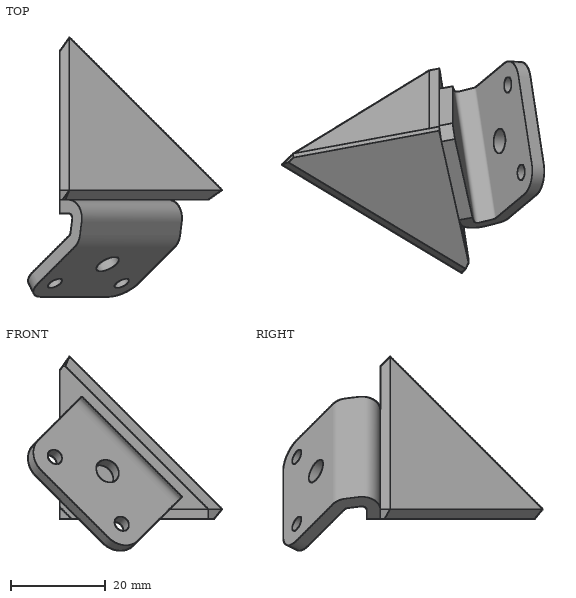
import cadquery as cq
import math

leg = 32.3
wall = 2.1
bevel = math.sqrt(2)

bracket_width = 29.95
sheet = 2.9
bend_radius = 1.0
bridge_slope = 10.0
bridge_start_v = 19.45
bridge_length = 9.15
flange_corner_cut = 1.8
tab_slope = math.degrees(math.atan(math.sqrt(2)))
tab_length = 19.9
tab_corner_radius = 5.0
mount_hole_diameter = 3.3
mount_hole_inset = tab_corner_radius
center_hole_diameter = 5.2
center_hole_inset = 12.0

reach = 3 * leg


def half_space(point, outward):
    """Large block filling the side of a plane that its outward normal points to."""
    return cq.Workplane(cq.Plane(origin=point, normal=outward)).rect(2 * reach, 2 * reach).extrude(reach)


def box_between(low, high):
    """Axis-aligned box between two opposite corners."""
    size = [b - a for a, b in zip(low, high)]
    return cq.Workplane("XY").box(*size, centered=False).translate(low)


def corner_plate(axis, low):
    """Triangular plate perpendicular to an axis, with beveled long edge and mitered ends."""
    high = [leg, leg, leg]
    high[axis] = 0
    plate = box_between(low, high)

    edge_point = [leg / 2, leg / 2, leg / 2]
    edge_point[axis] = 0
    edge_normal = [1, 1, 1]
    edge_normal[axis] = -bevel
    plate = plate.cut(half_space(tuple(edge_point), tuple(edge_normal)))

    for covered in range(3):
        if covered == axis or low[covered] == 0:
            continue
        along = 3 - axis - covered
        end_point = [0, 0, 0]
        end_point[along] = leg
        end_normal = [0, 0, 0]
        end_normal[along] = 1
        end_normal[covered] = -bevel
        plate = plate.cut(half_space(tuple(end_point), tuple(end_normal)))
    return plate


def step(start, length, degrees):
    """Point reached from a (V, Y) point, going away from the cup and down by an angle."""
    angle = math.radians(degrees)
    return (start[0] - length * math.sin(angle), start[1] - length * math.cos(angle))


def bent_section():
    """Bracket's section in (V, Y): flange on the cup, bridge, then sloping tab."""
    flange_bottom = (flange_corner_cut - wall * math.sqrt(2), -wall)
    flange_top = (bridge_start_v, -wall)
    bridge_end = step(flange_top, bridge_length, bridge_slope)
    tab_end = step(bridge_end, tab_length, tab_slope)

    first_setback = sheet * math.tan(math.radians(90 + bridge_slope) / 2)
    second_setback = sheet * math.tan(math.radians(tab_slope - bridge_slope) / 2)
    inner_tab_end = step(tab_end, sheet, tab_slope + 90)
    inner_bridge_end = step(inner_tab_end, second_setback - tab_length, tab_slope)
    inner_flange_top = (bridge_start_v - first_setback, -wall - sheet)
    inner_flange_bottom = (flange_bottom[0], -wall - sheet)
    return [flange_bottom, flange_top, bridge_end, tab_end,
            inner_tab_end, inner_bridge_end, inner_flange_top, inner_flange_bottom]


def bent_bracket():
    """Sheet bent from the flange, over the bridge, into the sloping tab with its holes."""
    section = bent_section()
    flange_top, bridge_end, tab_end = section[1:4]
    inner_bridge_end, inner_flange_top = section[5:7]

    bracket = cq.Workplane("XY").polyline(section).close().extrude(bracket_width / 2, both=True)

    def bend_edge(corner):
        return cq.selectors.NearestToPointSelector((*corner, 0))

    for corner in (flange_top, bridge_end):
        bracket = bracket.edges(bend_edge(corner)).fillet(bend_radius + sheet)
    for corner in (inner_flange_top, inner_bridge_end):
        bracket = bracket.edges(bend_edge(corner)).fillet(bend_radius)

    up_tab = step((0, 0), -1, tab_slope)
    outward = step((0, 0), -1, tab_slope + 90)
    tab_plane = cq.Plane(origin=(*tab_end, 0), xDir=(*up_tab, 0), normal=(*outward, 0))

    for side in (-1, 1):
        corner = tab_plane.toWorldCoords((0, side * bracket_width / 2, -sheet / 2))
        corner_edge = cq.selectors.NearestToPointSelector(corner.toTuple())
        bracket = bracket.edges(corner_edge).fillet(tab_corner_radius)

    mount_offset = bracket_width / 2 - mount_hole_inset
    tab_face = cq.Workplane(tab_plane)
    mount_holes = (tab_face.pushPoints([(mount_hole_inset, side * mount_offset) for side in (-1, 1)])
                   .circle(mount_hole_diameter / 2).extrude(-sheet))
    center_hole = tab_face.center(center_hole_inset, 0).circle(center_hole_diameter / 2).extrude(-sheet)
    bracket = bracket.cut(mount_holes).cut(center_hole)

    diagonal = cq.Plane(origin=(0, 0, 0), xDir=(1, 0, 1), normal=(-1, 0, 1))
    bracket = cq.Workplane(bracket.val().moved(cq.Location(diagonal)))

    trim_low = (-reach, -wall - sheet, -reach)
    side_trim = box_between(trim_low, (-wall, -wall, reach))
    bottom_trim = box_between(trim_low, (reach, -wall, -wall))
    return bracket.cut(side_trim).cut(bottom_trim)


floor_plate = corner_plate(2, [-wall, -wall, -wall])
front_plate = corner_plate(1, [-wall, -wall, 0])
front_plate = front_plate.cut(half_space((0, 0, leg), (0, -1, 1)))
side_plate = corner_plate(0, [-wall, 0, 0])
bracket = bent_bracket()

result = cq.Compound.makeCompound(
    [floor_plate.val(), front_plate.val(), side_plate.val(), bracket.val()]
)